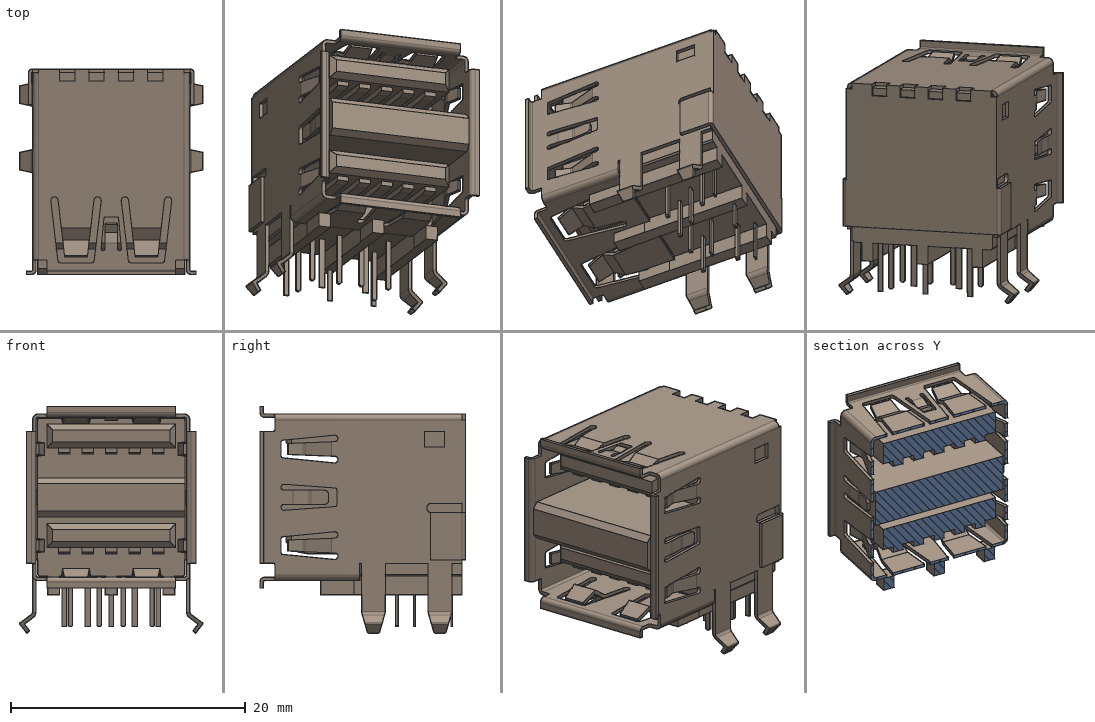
import cadquery as cq
import math


sheet = 0.3
length = 17.5
half_width = 6.7
shell_bottom = 1.2
shell_top = 15.4
corner_radius = 0.5
mid_z = (shell_bottom + shell_top) / 2
shell_height = shell_top - shell_bottom
rear_inner = length - sheet

notch_depth = 1.26
notch_fillet = 0.12
top_lip_half = 5.48
side_lip_half = 5.62
top_lip_height = 0.64
side_lip_height = 0.52
lip_inner_radius = 0.1
lip_outer_radius = lip_inner_radius + sheet

cover_bottom = 2.97
cover_tab_top = 7.0
cover_tab_length = 3.0
cover_tab_gap = 0.05
comb_pitch = 2.5
comb_width = 1.3
comb_depth = 1.0
relief_height = 0.78
relief_front = 14.2
lock_hole_y = (14.0, 15.7)
lock_hole_z = (12.59, 13.92)

floor_end = 8.48
skirt_bottom = mid_z - side_lip_half
leg_width = 2.03
leg_centers_y = (9.66, 15.32)
leg_taper_start = -1.5
leg_tip_z = -3.28
leg_tip_width = 1.0
leg_tip_fillet = 0.2
leg_knee_radius = 0.35
leg_elbow_radius = 0.1

body_half = 6.26
body_bottom = 1.58
body_half_height = mid_z - body_bottom
body_front = 8.5
body_chamfer = 0.14
divider_half_height = 1.66
front_chamfer = 0.5
tongue_front = 2.2
tongue_half = 5.49
tongue_height = 2.04
tongue_bottoms = (4.02, 12.5)

contact_pitch = 2.0
contact_width = 1.0
contact_front = 3.2
contact_front_height = 0.38
contact_height = 0.53
contact_ramp = 0.8

foot_pitch = 4.9
foot_pad_width = 1.03
foot_pad_y = (5.16, 8.02)
foot_rib_width = 0.97

pin_tip_z = -2.72
pin_width = 0.4
pin_wide = 0.49
pin_thickness = 0.16
pointed_pin_thickness = 0.25
pin_chamfer = 0.12
straight_pin_places = [(-4, 16.33), (0, 16.33), (4, 16.33)]
wide_pin_places = [(-2, 13.15), (2, 13.15)]
pointed_pin_places = [(x, 11.65) for x in (-3.48, -1.02, 1.02, 3.48)]
pointed_pin_places += [(-3.48, 14.9), (3.48, 14.9)]


def box(x_range, y_range, z_range):
    """Axis-aligned box between the given limits."""
    size = [limits[1] - limits[0] for limits in (x_range, y_range, z_range)]
    corner = (x_range[0], y_range[0], z_range[0])
    return cq.Workplane("XY").box(*size, centered=False).translate(corner)



def on_wall(piece, wall, offset=0.0):
    """Turn a flat-sheet piece onto a wall; offset shifts it along the wall, across Y."""
    if wall == "top":
        return piece.translate((offset, 0, shell_top))
    if wall == "bottom":
        turned = piece.rotate((0, 0, 0), (0, 1, 0), 180)
        return turned.translate((offset, 0, shell_bottom))
    side = 1 if wall == "right" else -1
    turned = piece.rotate((0, 0, 0), (0, 1, 0), side * 90)
    return turned.translate((side * half_width, 0, mid_z + offset))


def flared_lip(half_length, height):
    """Front edge of a wall bent outwards through 90 degrees."""
    bend = lip_outer_radius
    diagonal = math.sqrt(0.5)
    outer_mid = bend * (1 - diagonal)
    inner_mid = lip_inner_radius * diagonal
    return (
        cq.Workplane("YZ")
        .moveTo(bend, -sheet)
        .threePointArc((outer_mid, outer_mid - sheet), (0, lip_inner_radius))
        .lineTo(0, height)
        .lineTo(sheet, height)
        .lineTo(sheet, lip_inner_radius)
        .threePointArc((bend - inner_mid, lip_inner_radius - inner_mid), (bend, 0))
        .close()
        .extrude(half_length, both=True)
    )


def taper_plan(root_y, end_y, root_half, end_half):
    """Symmetric trapezoid along Y, cutting through the sheet and the space below it."""
    reach = 5 * sheet
    outline = [(-root_half, root_y), (root_half, root_y), (end_half, end_y), (-end_half, end_y)]
    return cq.Workplane("XY").polyline(outline).close().extrude(reach, both=True)


def spring_window(spring):
    """Opening around a spring: tapered, with a rounded slot end on each side of the root."""
    root_half, end_half = spring["window_halves"]
    slot_radius = (root_half - spring["flap_halves"][0]) / 2
    slot_x = root_half - slot_radius
    plan = taper_plan(spring["root"], spring["window_end"], root_half, end_half)
    plan = plan.edges("|Z").edges(">Y" if spring["window_end"] > spring["root"] else "<Y")
    plan = plan.fillet(spring["window_fillet"])
    slot_ends = (
        cq.Workplane("XY")
        .pushPoints([(-slot_x, spring["root"]), (slot_x, spring["root"])])
        .circle(slot_radius)
        .extrude(sheet, both=True)
    )
    return plan.union(slot_ends)


def inner_side(path):
    """Path shifted square to itself by the sheet thickness, with mitred corners."""
    headings = [math.atan2(b[1] - a[1], b[0] - a[0]) for a, b in zip(path, path[1:])]
    direction = 1 if path[-1][0] > path[0][0] else -1
    shifted = []
    for i, (y, z) in enumerate(path):
        before = headings[max(i - 1, 0)]
        after = headings[min(i, len(headings) - 1)]
        half_turn = math.remainder(after - before, 2 * math.pi) / 2
        middle = before + half_turn
        reach = direction * sheet / math.cos(half_turn)
        shifted.append((y + reach * math.sin(middle), z - reach * math.cos(middle)))
    return shifted


def spring_flap(spring):
    """Sheet strip bent inwards to a crest and back out towards its tip."""
    outer_path = [
        (spring["root"], 0),
        (spring["bend"], 0),
        (spring["crest"], -spring["crest_depth"]),
        (spring["tip"], -spring["tip_depth"]),
    ]
    inner_path = inner_side(outer_path)
    root_half, end_half = spring["flap_halves"]
    outline = outer_path + inner_path[::-1]
    strip = cq.Workplane("YZ").polyline(outline).close().extrude(root_half, both=True)
    if "crest_radius" in spring:
        tight = spring["crest_radius"]
        for (y, z), radius in ((outer_path[2], tight), (inner_path[2], tight + sheet)):
            corner = cq.selectors.NearestToPointSelector((0, y, z))
            strip = strip.edges("|X").edges(corner).fillet(radius)
    plan = taper_plan(spring["root"], inner_path[-1][0], root_half, end_half)
    plan = plan.edges("|Z").edges(">Y" if spring["tip"] > spring["root"] else "<Y")
    return strip.intersect(plan.fillet(spring["tip_fillet"]))


floor_latch = dict(
    root=6.3, window_end=1.0, window_halves=(2.15, 1.52), window_fillet=0.25,
    flap_halves=(1.52, 0.97), bend=3.98, crest=2.93, tip=1.62,
    crest_depth=0.68, tip_depth=0.0, tip_fillet=0.08,
)
roof_latch = dict(floor_latch, crest_depth=0.5)
side_latch = dict(
    root=6.36, window_end=1.81, window_halves=(1.18, 0.73), window_fillet=0.15,
    flap_halves=(0.63, 0.47), bend=6.1, crest=3.76, tip=2.42,
    crest_depth=0.73, tip_depth=0.27, tip_fillet=0.08, crest_radius=0.3,
)
roof_center_spring = dict(
    root=2.2, window_end=4.91, window_halves=(0.87, 0.61), window_fillet=0.12,
    flap_halves=(0.54, 0.54), bend=2.7, crest=3.6, tip=4.28,
    crest_depth=0.26, tip_depth=0.0, tip_fillet=0.15,
)
side_center_spring = dict(
    root=2.05, window_end=6.54, window_halves=(1.11, 0.78), window_fillet=0.15,
    flap_halves=(0.6, 0.6), bend=2.8, crest=4.25, tip=5.82,
    crest_depth=0.12, tip_depth=0.0, tip_fillet=0.35, crest_radius=1.2,
)
latch_x = 3.0
side_latch_offset = 4.11
spring_places = [
    (roof_center_spring, "top", 0),
    (side_center_spring, "left", 0),
    (side_center_spring, "right", 0),
]
for sign in (-1, 1):
    spring_places += [
        (roof_latch, "top", sign * latch_x),
        (floor_latch, "bottom", sign * latch_x),
        (side_latch, "left", sign * side_latch_offset),
        (side_latch, "right", sign * side_latch_offset),
    ]


def wall_section(inset):
    """Rounded rectangle of the shell outline, shrunk by the inset."""
    section = cq.Sketch().rect(2 * (half_width - inset), shell_height - 2 * inset)
    return section.vertices().fillet(corner_radius - inset)


def section_prism(inset, front, rear):
    """Shell cross-section swept along Y between two planes."""
    prism = cq.Workplane("XZ").placeSketch(wall_section(inset)).extrude(front - rear)
    return prism.translate((0, front, mid_z))


def corner_notches():
    """Cutters freeing the four front corners between the lips."""
    margin = 1.0
    cutters = cq.Workplane("XY")
    for x_sign in (-1, 1):
        for z_sign in (-1, 1):
            x_range = sorted((x_sign * top_lip_half, x_sign * (half_width + margin)))
            z_range = sorted((mid_z + z_sign * side_lip_half, mid_z + z_sign * shell_height))
            notch = box(x_range, (-margin, notch_depth), z_range)
            inner_x = "<X" if x_sign > 0 else ">X"
            inner_z = "<Z" if z_sign > 0 else ">Z"
            notch = notch.edges("|Z and >Y").edges(inner_x).fillet(notch_fillet)
            notch = notch.edges("|X and >Y").edges(inner_z).fillet(notch_fillet)
            cutters = cutters.add(notch)
    return cutters.combine()


def rear_cover():
    """Rear plate folded from the roof, with two tabs wrapped around the side walls."""
    depth = (rear_inner, length)
    shoulder = shell_top - corner_radius
    flat_half = half_width - corner_radius
    cover = box((-half_width, half_width), depth, (cover_bottom, shoulder))
    cover = cover.union(box((-flat_half, flat_half), depth, (shoulder, shell_top)))
    tab_inner = half_width + cover_tab_gap
    tab_outer = tab_inner + sheet
    tab_z = (cover_bottom, cover_tab_top)
    wrap = box((-tab_outer, tab_outer), (length - cover_tab_length, length), tab_z)
    wrap = wrap.edges("|Z and >Y").fillet(sheet)
    wrap = wrap.cut(box((-tab_inner, tab_inner), (0, rear_inner), tab_z))
    return cover.union(wrap)


def comb_notches():
    """Four notches across the fold between roof and rear cover."""
    centers = [(i - 1.5) * comb_pitch for i in range(4)]
    notch = box(
        (-comb_width / 2, comb_width / 2),
        (length - comb_depth, length),
        (shell_top - comb_depth, shell_top),
    )
    cutters = cq.Workplane("XY")
    for x in centers:
        cutters = cutters.add(notch.translate((x, 0, 0)))
    return cutters.combine()


def side_openings():
    """Lock hole and tab relief slot, cut through both side walls."""
    across = (-half_width, half_width)
    end_radius = 0.49 * relief_height
    lock_hole = box(across, lock_hole_y, lock_hole_z)
    relief_z = (cover_tab_top, cover_tab_top + relief_height)
    relief = box(across, (relief_front, rear_inner), relief_z)
    relief = relief.edges("|X and <Y").fillet(end_radius)
    return lock_hole.union(relief)


def board_leg(y):
    """Right-hand leg: straight shank, then a tapered hook kinked outwards."""
    inner = half_width - sheet
    knee_outer = (half_width, -1.6)
    knee_inner = (inner, -1.76)
    elbow_outer = (7.842, -2.44)
    elbow_inner = (7.38, -2.5)
    tip_outer = (7.18, leg_tip_z)
    tip_inner = (6.95, -3.06)
    outline = [
        (half_width, skirt_bottom), knee_outer, elbow_outer, tip_outer,
        tip_inner, elbow_inner, knee_inner, (inner, skirt_bottom),
    ]
    strip = cq.Workplane("XZ").polyline(outline).close().extrude(leg_width / 2, both=True)
    rounding = [
        (knee_outer, leg_knee_radius), (knee_inner, leg_knee_radius + sheet),
        (elbow_outer, leg_elbow_radius),
    ]
    for (x, z), radius in rounding:
        corner = cq.selectors.NearestToPointSelector((x, 0, z))
        strip = strip.edges("|Y").edges(corner).fillet(radius)
    half = leg_width / 2
    tip_half = leg_tip_width / 2
    plan = (
        cq.Workplane("YZ")
        .polyline([
            (-half, skirt_bottom), (half, skirt_bottom), (half, leg_taper_start),
            (tip_half, leg_tip_z), (-tip_half, leg_tip_z), (-half, leg_taper_start),
        ])
        .close()
        .extrude(2 * half_width)
        .edges("|X and <Z")
        .fillet(leg_tip_fillet)
    )
    return strip.intersect(plan).translate((0, y, 0))


def make_shell():
    """One-piece shell: tube, lips, cover, springs and legs."""
    shell = section_prism(0, lip_outer_radius, rear_inner)
    shell = shell.cut(section_prism(sheet, lip_outer_radius, rear_inner))
    for wall in ("top", "bottom"):
        shell = shell.union(on_wall(flared_lip(top_lip_half, top_lip_height), wall))
    for wall in ("left", "right"):
        shell = shell.union(on_wall(flared_lip(side_lip_half, side_lip_height), wall))
    shell = shell.cut(corner_notches())
    underside = box((-half_width, half_width), (floor_end, length), (shell_bottom, skirt_bottom))
    shell = shell.cut(underside).cut(side_openings())
    shell = shell.union(rear_cover()).cut(comb_notches())
    for spring, wall, offset in spring_places:
        shell = shell.cut(on_wall(spring_window(spring), wall, offset))
        shell = shell.union(on_wall(spring_flap(spring), wall, offset))
    for y in leg_centers_y:
        leg = board_leg(y)
        shell = shell.union(leg).union(leg.mirror("YZ"))
    return shell



def contact(x, tongue_bottom):
    """Contact blade under a tongue, its front dipping down to full depth."""
    dip = tongue_bottom - contact_front_height
    low = tongue_bottom - contact_height
    outline = [
        (contact_front, tongue_bottom), (contact_front, dip), (contact_front + contact_ramp, low),
        (body_front, low), (body_front, tongue_bottom),
    ]
    blade = cq.Workplane("YZ").polyline(outline).close().extrude(contact_width / 2, both=True)
    return blade.translate((x, 0, 0))


def foot(x):
    """Standoff: a pad under the shell floor and a narrower rib running back below the body."""
    pad_half = foot_pad_width / 2
    rib_half = foot_rib_width / 2
    pad = box((x - pad_half, x + pad_half), foot_pad_y, (0, shell_bottom))
    link = box((x - rib_half, x + rib_half), (foot_pad_y[1], body_front), (0, shell_bottom))
    rib = box((x - rib_half, x + rib_half), (body_front, rear_inner), (0, body_bottom))
    return pad.union(link).union(rib)


def pin(x, y, width, thickness):
    """Solder pin hanging from the underside of the body."""
    x_range = (x - width / 2, x + width / 2)
    y_range = (y - thickness / 2, y + thickness / 2)
    return box(x_range, y_range, (pin_tip_z, body_bottom))


def make_housing():
    """Housing block with divider, tongues, contacts, feet and pins."""
    body_z = (body_bottom, mid_z + body_half_height)
    housing = box((-body_half, body_half), (body_front, rear_inner), body_z)
    housing = housing.edges("|Y and <Z").chamfer(body_chamfer)

    divider_z = (mid_z - divider_half_height, mid_z + divider_half_height)
    divider = box((-body_half, body_half), (0, body_front), divider_z)
    housing = housing.union(divider.edges("|X and <Y").chamfer(front_chamfer))

    for bottom in tongue_bottoms:
        tongue_z = (bottom, bottom + tongue_height)
        tongue = box((-tongue_half, tongue_half), (tongue_front, body_front), tongue_z)
        housing = housing.union(tongue.faces("<Y").chamfer(front_chamfer))
        for i in range(5):
            housing = housing.union(contact((i - 2) * contact_pitch, bottom))

    for i in range(3):
        housing = housing.union(foot((i - 1) * foot_pitch))
    for x, y in straight_pin_places:
        housing = housing.union(pin(x, y, pin_width, pin_thickness))
    for x, y in wide_pin_places:
        housing = housing.union(pin(x, y, pin_wide, pin_thickness))
    for x, y in pointed_pin_places:
        pointed = pin(x, y, pin_width, pointed_pin_thickness)
        housing = housing.union(pointed.edges("|Y and <Z").chamfer(pin_chamfer))
    return housing


shell = make_shell()
housing = make_housing()
result = cq.Compound.makeCompound([shell.val(), housing.val()])